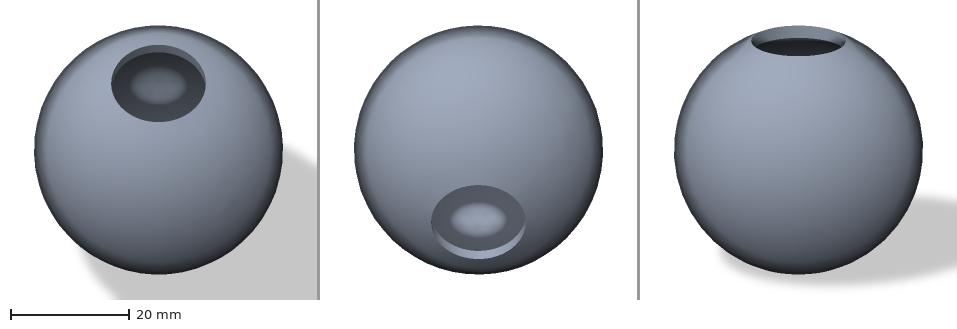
import cadquery as cq
import math

ball_diameter = 42.0
hole_diameter = 15.95
wall_thickness = 2.0

ball_radius = ball_diameter / 2
cavity_radius = ball_radius - wall_thickness
hole_radius = hole_diameter / 2

outer_rim_height = math.sqrt(ball_radius**2 - hole_radius**2)
inner_rim_height = math.sqrt(cavity_radius**2 - hole_radius**2)

wall_section = (
    cq.Workplane("XZ")
    .moveTo(hole_radius, -outer_rim_height)
    .threePointArc((ball_radius, 0), (hole_radius, outer_rim_height))
    .lineTo(hole_radius, inner_rim_height)
    .threePointArc((cavity_radius, 0), (hole_radius, -inner_rim_height))
    .close()
)

result = wall_section.revolve(360, (0, 0, 0), (0, 1, 0))